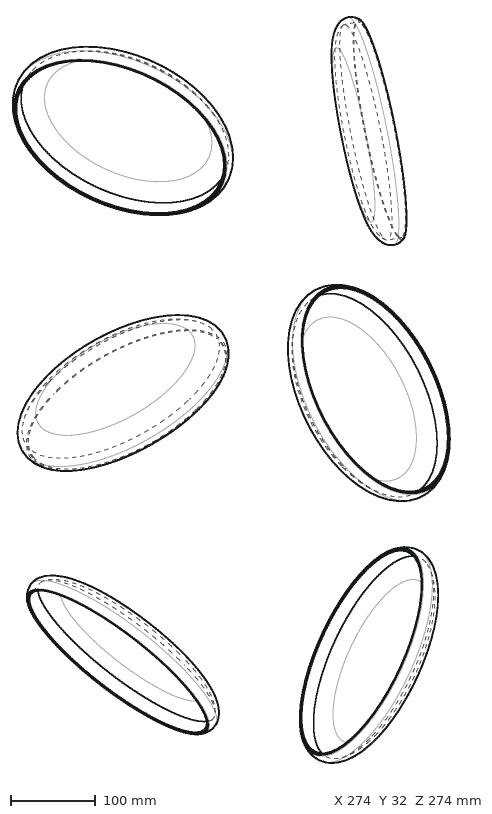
import cadquery as cq
import math

outer_radius = 137.0
depth = 32.0
widest_depth = 11.0
flat_radius = 104.7
base_thickness = 3.5

rim_outer_radius = 133.5
rim_chamfer = 0.8
mouth_chamfer = 1.0
cavity_radius = 129.5
wall_depth = 17.5

front_y = -depth / 2
back_y = depth / 2
widest_y = front_y + widest_depth
wall_end_y = front_y + wall_depth
floor_y = back_y - base_thickness


def ellipse_to_flat(profile, start_radius, start_y, end_y):
    """Ellipse centred level with the widest circle, ending tangent to the flat at end_y."""
    y_axis = end_y - widest_y
    start_angle = math.asin((start_y - widest_y) / y_axis)
    radial_axis = (start_radius - flat_radius) / math.cos(start_angle)
    return profile.ellipseArc(
        radial_axis,
        y_axis,
        angle1=math.degrees(start_angle),
        angle2=90,
        startAtCurrent=True,
    )


def revolve_about_y(profile, end_y):
    """Close the half profile along its flat and the axis, then turn it about Y."""
    return profile.lineTo(0, end_y).close().revolve(360, (0, 0), (0, 1))


def make_body():
    """Solid outer shape, bulging between the rim and the flat back."""
    profile = (
        cq.Workplane("XY")
        .moveTo(0, front_y)
        .lineTo(rim_outer_radius - rim_chamfer, front_y)
        .lineTo(rim_outer_radius, front_y + rim_chamfer)
    )
    rise = widest_depth - rim_chamfer
    bulge = outer_radius - rim_outer_radius
    arc_radius = (rise**2 + bulge**2) / (2 * bulge)
    profile = profile.radiusArc((outer_radius, widest_y), -arc_radius)
    profile = ellipse_to_flat(profile, outer_radius, widest_y, back_y)
    return revolve_about_y(profile, back_y)


def make_cavity():
    """Straight-walled opening with an elliptical curve down to the floor."""
    profile = (
        cq.Workplane("XY")
        .moveTo(0, front_y)
        .lineTo(cavity_radius + mouth_chamfer, front_y)
        .lineTo(cavity_radius, front_y + mouth_chamfer)
        .lineTo(cavity_radius, wall_end_y)
    )
    profile = ellipse_to_flat(profile, cavity_radius, wall_end_y, floor_y)
    return revolve_about_y(profile, floor_y)


result = make_body().cut(make_cavity())